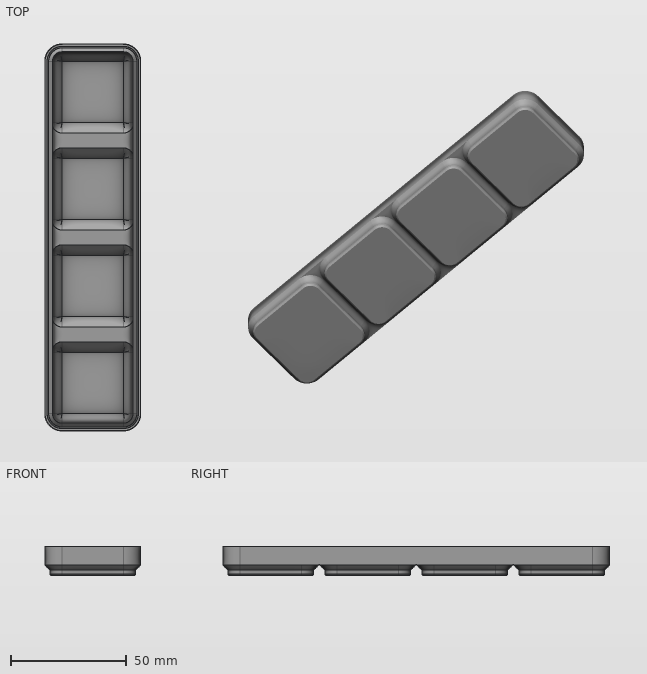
import cadquery as cq
import math

length = 167.5
width = 41.5
height = 12.7
corner_radius = 7.5

cell_count = 4
foot_top_flare = 2.2
foot_straight = 1.8
foot_bottom_chamfer = 0.7
foot_height = foot_top_flare + foot_straight + foot_bottom_chamfer
flare_overlap = 0.8
pitch = (length - width) / (cell_count - 1)

wall = 3.4
floor_thickness = 1.2
cell_slope = 4.5
cell_side_angle = 45
floor_side = width - 2 * corner_radius
divider_top = floor_thickness + cell_slope

lip_thickness = 1.0
groove_floor = 0.7
groove_depth = 2.0

cell_centers = [(i - (cell_count - 1) / 2) * pitch for i in range(cell_count)]


def rounded_block(size_x, size_y, radius, bottom, top, taper=0):
    """Block with a rounded outline, centred on the Z axis; a taper leans its sides inward (degrees)."""
    outline = cq.Sketch().rect(size_x, size_y).vertices().fillet(radius)
    return cq.Workplane("XY", origin=(0, 0, bottom)).placeSketch(outline).extrude(top - bottom, taper=taper)


def inset_block(inset, bottom, top, taper=0):
    """Block that follows the tray outline, moved inward by the inset."""
    size_x = width - 2 * inset
    size_y = length - 2 * inset
    return rounded_block(size_x, size_y, corner_radius - inset, bottom, top, taper)


def make_foot():
    """Foot with a chamfered bottom, a straight band and a flare up to the tray outline."""
    flare_bottom = foot_height - foot_top_flare
    flare = rounded_block(width, width, corner_radius, flare_bottom, foot_height + flare_overlap)
    flare = flare.faces("<Z").chamfer(foot_top_flare)
    stem_side = width - 2 * foot_top_flare
    stem = rounded_block(stem_side, stem_side, corner_radius - foot_top_flare, 0, flare_bottom)
    stem = stem.faces("<Z").chamfer(foot_bottom_chamfer)
    return stem.union(flare)


def make_cell():
    """Cell cutter: a square floor with outward sloping sides that meet in conical corners."""
    floor = cq.Workplane("XY").workplane(offset=floor_thickness).rect(floor_side, floor_side)
    return floor.extrude(cell_slope, taper=-cell_side_angle)


def make_cavity():
    """Everything removed inside the walls: the open space and the cells below it."""
    cell = make_cell()
    cavity = inset_block(wall, divider_top, height)
    well = inset_block(wall, floor_thickness, divider_top)
    for y in cell_centers:
        cavity = cavity.union(cell.translate((0, y, 0)).intersect(well))
    return cavity


def make_groove():
    """Ring cutter between the lip and a ridge that slopes up to the cavity wall."""
    groove_bottom = height - groove_depth
    ridge_foot = lip_thickness + groove_floor
    ridge_taper = math.degrees(math.atan((wall - ridge_foot) / groove_depth))
    ridge = inset_block(ridge_foot, groove_bottom, height, ridge_taper)
    return inset_block(lip_thickness, groove_bottom, height).cut(ridge)


body = inset_block(0, foot_height, height)
foot = make_foot()
for y in cell_centers:
    body = body.union(foot.translate((0, y, 0)))

result = body.cut(make_cavity()).cut(make_groove())